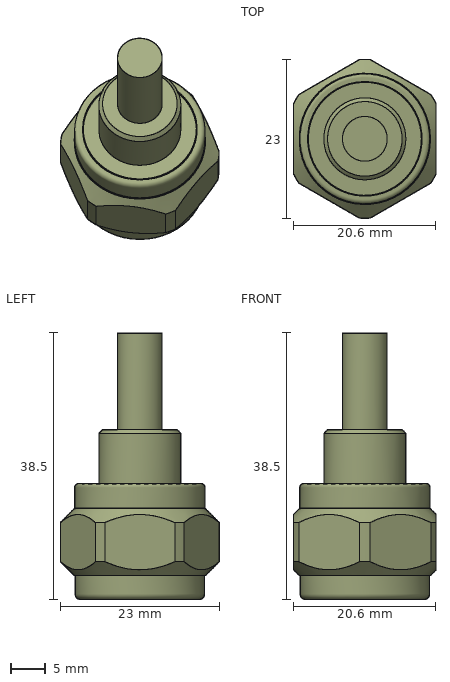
import cadquery as cq
import math

HEX_BOTTOM = 3.45
HEX_TOP = 13.13
COLLAR_BOTTOM = 13.25
COLLAR_TOP = 16.8
SLEEVE_TOP = 24.55
CABLE_TOP = 38.5

CABLE_RADIUS = 3.25
SLEEVE_RADIUS = 5.93
COLLAR_RADIUS = 9.45
NUT_RADIUS = 9.35
HEX_ACROSS_FLATS = 20.65
HEX_TRIMMED_CORNERS = 23.0
HEX_CORNER_RADIUS = HEX_TRIMMED_CORNERS / 2

HEX_CHAMFER = 2.0
SLEEVE_CHAMFER = 0.55
COLLAR_FILLET = 0.6
NUT_FILLET = 0.77

GAP_OUTER_RADIUS = 8.28
GAP_WIDTH = 0.1
GAP_DEPTH = 0.2


def cylinder(radius, bottom, top):
    return cq.Workplane("XY").workplane(offset=bottom).circle(radius).extrude(top - bottom)


def hexagon():
    """Hexagon with flats facing +X and -X, trimmed by 45 degree cones at both ends."""
    sharp_corner_diameter = HEX_ACROSS_FLATS / math.cos(math.pi / 6)
    prism = (
        cq.Workplane("XY")
        .workplane(offset=HEX_BOTTOM)
        .polygon(6, sharp_corner_diameter)
        .extrude(HEX_TOP - HEX_BOTTOM)
        .rotate((0, 0, 0), (0, 0, 1), 30)
    )
    envelope = (
        cylinder(HEX_CORNER_RADIUS, HEX_BOTTOM, HEX_TOP)
        .edges()
        .chamfer(HEX_CHAMFER)
    )
    return prism.intersect(envelope)


def nut():
    """Round nut body, slightly narrower than the collar, with the hexagon around it."""
    body = cylinder(NUT_RADIUS, 0, COLLAR_BOTTOM).faces("<Z").edges().fillet(NUT_FILLET)
    return body.union(hexagon())


def collar():
    body = cylinder(COLLAR_RADIUS, COLLAR_BOTTOM, COLLAR_TOP).faces(">Z").edges().fillet(COLLAR_FILLET)
    gap = (
        cq.Workplane("XY")
        .workplane(offset=COLLAR_TOP - GAP_DEPTH)
        .circle(GAP_OUTER_RADIUS)
        .circle(GAP_OUTER_RADIUS - GAP_WIDTH)
        .extrude(GAP_DEPTH)
    )
    return body.cut(gap)


def sleeve():
    return cylinder(SLEEVE_RADIUS, COLLAR_TOP, SLEEVE_TOP).faces(">Z").edges().chamfer(SLEEVE_CHAMFER)


def cable():
    return cylinder(CABLE_RADIUS, SLEEVE_TOP, CABLE_TOP)


result = nut().union(collar()).union(sleeve()).union(cable())